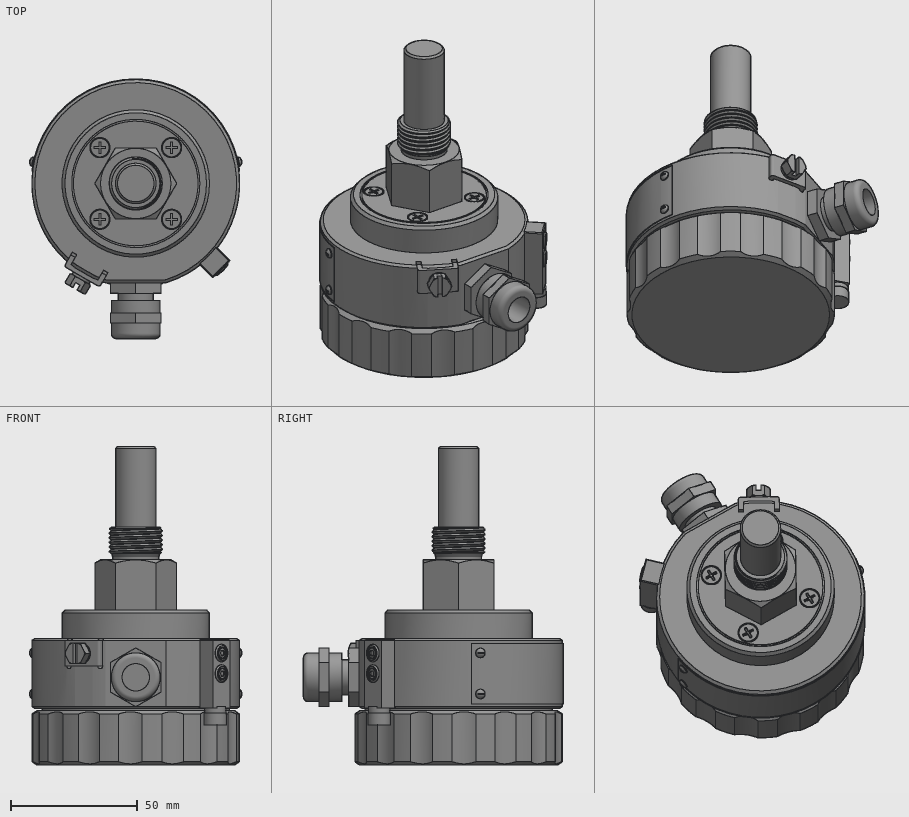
import cadquery as cq
import math

OVERLAP = 0.5

CAP_RADIUS = 41.0
CAP_HEIGHT = 21.6
CAP_CHAMFER_HEIGHT = 1.4
CAP_CHAMFER_RADIAL = 2.0
FLUTE_COUNT = 15
FLUTE_START_ANGLE = 3.0
FLUTE_RADIUS = 12.0
FLUTE_DEPTH = 1.2
NECK_RADIUS = 37.0

BODY_RADIUS = CAP_RADIUS
BODY_BOTTOM = 22.3
BODY_TOP = 50.05
BODY_CHAMFER_HEIGHT = 0.8
BODY_CHAMFER_RADIAL = 1.2
GLAND_ANGLE = -90.0
GLAND_FLAT_DISTANCE = 39.25
CLAMP_ANGLE = -120.0
CLAMP_FLAT_DISTANCE = 40.8
POST_ANGLE = -45.0
POST_FLAT_DISTANCE = 40.64

PLATE_RADIUS = 41.3
PLATE_BOTTOM = 24.2
PLATE_TOP = 48.1
PLATE_EDGE_Y = 5.0
PLATE_SCREW_ANGLE = 12.0
PLATE_SCREW_HEIGHTS = (28.1, 44.3)
PLATE_SCREW_RADIUS = 1.9
PLATE_SCREW_SINK = 2.0
PLATE_SCREW_CROWN = 1.18
PLATE_SCREW_RIM = 0.35
PLATE_SCREW_SLOT = 0.4
PLATE_SCREW_SLOT_DEPTH = 0.4

FLANGE_RADIUS = 29.1
FLANGE_TOP = 61.3
FLANGE_CHAMFER = 1.2
INSERT_RADIUS = 24.6
INSERT_GAP = 0.7
INSERT_GAP_DEPTH = 0.5
INSERT_SCREW_OFFSET = 14.15
INSERT_SCREW_RADIUS = 3.65
INSERT_SCREW_GAP = 0.35
CROSS_LENGTH = 4.6
CROSS_WIDTH = 0.8
CROSS_DEPTH = 1.0

HEX_ACROSS_FLATS = 28.0
HEX_TOP = 81.1
HEX_CHAMFER_HEIGHT = 1.35
HEX_CHAMFER_RADIAL = 2.3
RELIEF_RADIUS = 9.1
COLLAR_RADIUS = 9.3
COLLAR_BOTTOM = 82.6
THREAD_RADIUS = 10.48
THREAD_ROOT_RADIUS = 9.85
THREAD_PITCH = 1.814
THREAD_FOOT_SINK = 0.1
THREAD_FOOT_WIDTH = 1.75
THREAD_CREST_WIDTH = 0.15
THREAD_CLEARANCE = 0.2
THREAD_END_RADIUS = 9.5
THREAD_BEVEL_HEIGHT = 0.9
THREAD_BOTTOM = 83.4
THREAD_TOP = 94.0
STEM_RADIUS = 8.0
STEM_TOP = 125.8
STEM_CHAMFER = 0.8

GLAND_HEIGHT = 34.7
GLAND_ACROSS_FLATS = 20.1
GLAND_BODY_RADIUS = 9.65
GLAND_NECK_RADIUS = 7.0
GLAND_BORE_RADIUS = 5.4
GLAND_BASE_NUT_END = 43.4
GLAND_NECK_END = 46.1
GLAND_NUT_START = 51.1
GLAND_NUT_END = 55.1
GLAND_END = 61.3
GLAND_FILLET = 2.0

CLAMP_WIDTH = 16.2
CLAMP_THICKNESS = 2.0
CLAMP_BEND_RADIUS = 1.0
CLAMP_OUTER = 42.5
CLAMP_ARM_INNER = 37.2
CLAMP_BOTTOM = 39.1
CLAMP_TOP = 49.3
SLOT_INNER = 36.0
SLOT_BOTTOM = 38.2
SLOT_FILLET = 0.8
BOLT_HEIGHT = 44.1
BOLT_ACROSS_FLATS = 8.1
BOLT_COLLAR_RADIUS = 3.9
BOLT_COLLAR_END = 43.6
BOLT_HEAD_END = 48.0
BOLT_CHAMFER = 0.4
BOLT_SLOT_WIDTH = 1.9
BOLT_SLOT_DEPTH = 2.2

POST_WIDTH = 9.6
POST_INNER = 36.0
POST_OUTER = 47.8
POST_BOTTOM = 22.6
POST_TOP = 49.6
POST_CHAMFER = 0.4
POST_SCREW_HEIGHTS = (36.15, 44.25)
POST_SCREW_RADIUS = 3.5
POST_SCREW_PROJECTION = 0.7
POST_SCREW_CHAMFER = 0.6
POST_SCREW_RING_RADIUS = 2.0
POST_SCREW_RING_WIDTH = 0.3
POST_SCREW_SOCKET_RADIUS = 1.1
POST_SCREW_SOCKET_DEPTH = 0.6
PIN_DISTANCE = 44.35
PIN_HEAD_RADIUS = 4.4
PIN_HEAD_BOTTOM = 15.9
PIN_HEAD_TOP = 20.6
PIN_SHANK_RADIUS = 4.2


def hex_corner_radius(across_flats):
    return across_flats / math.sqrt(3)


def turned(shape, angle):
    return shape.rotate((0, 0, 0), (0, 0, 1), angle)


def cylinder(radius, bottom, top):
    return cq.Workplane("XY").workplane(offset=bottom).circle(radius).extrude(top - bottom)


def chamfered_cylinder(radius, bottom, top, chamfer_height, chamfer_radial, edges):
    """Vertical cylinder bevelled on the chosen end edges, built as a revolved profile."""
    bevel = (chamfer_height, chamfer_radial)
    low_z, low_r = bevel if "bottom" in edges else (0, 0)
    high_z, high_r = bevel if "top" in edges else (0, 0)
    profile = cq.Workplane("XZ").moveTo(0, bottom).lineTo(radius - low_r, bottom)
    if low_r:
        profile = profile.lineTo(radius, bottom + low_z)
    profile = profile.lineTo(radius, top - high_z)
    if high_r:
        profile = profile.lineTo(radius - high_r, top)
    return profile.lineTo(0, top).close().revolve(360, (0, 0, 0), (0, 1, 0))


def radial_plane(distance, height):
    """Workplane facing +X, with its origin at the given distance and height."""
    return cq.Workplane("YZ", origin=(distance, 0, height))


def radial_cylinder(radius, start, end, height):
    return radial_plane(start, height).circle(radius).extrude(end - start)


def radial_hexagon(across_flats, start, end, height):
    """Hexagonal prism along +X with two corners pointing sideways."""
    plane = radial_plane(start, height)
    return plane.polygon(6, 2 * hex_corner_radius(across_flats)).extrude(end - start)


def block(x_start, x_end, y_start, y_end, bottom, top):
    size = (x_end - x_start, y_end - y_start, top - bottom)
    return cq.Workplane("XY").box(*size, centered=False).translate((x_start, y_start, bottom))


def cross_recess(center_x, center_y):
    plane = cq.Workplane("XY", origin=(center_x, center_y, FLANGE_TOP))
    first_arm = plane.rect(CROSS_LENGTH, CROSS_WIDTH).extrude(-CROSS_DEPTH)
    second_arm = plane.rect(CROSS_WIDTH, CROSS_LENGTH).extrude(-CROSS_DEPTH)
    return first_arm.union(second_arm)


def ring_groove(center_x, center_y, inner_radius, width):
    plane = cq.Workplane("XY", origin=(center_x, center_y, FLANGE_TOP))
    return plane.circle(inner_radius + width).circle(inner_radius).extrude(-INSERT_GAP_DEPTH)


def make_cap():
    cap = chamfered_cylinder(
        CAP_RADIUS, 0, CAP_HEIGHT, CAP_CHAMFER_HEIGHT, CAP_CHAMFER_RADIAL, ("bottom", "top")
    )
    cutter = cylinder(FLUTE_RADIUS, 0, CAP_HEIGHT)
    cutter = cutter.translate((CAP_RADIUS - FLUTE_DEPTH + FLUTE_RADIUS, 0, 0))
    for index in range(FLUTE_COUNT):
        cap = cap.cut(turned(cutter, FLUTE_START_ANGLE + index * 360 / FLUTE_COUNT))
    neck = cylinder(NECK_RADIUS, CAP_HEIGHT - OVERLAP, BODY_BOTTOM + OVERLAP)
    return cap.union(neck)


def outside_flat(distance, angle):
    """Region of the housing beyond a flat at the given distance from the axis."""
    region = block(distance, 2 * BODY_RADIUS, -BODY_RADIUS, BODY_RADIUS, BODY_BOTTOM, BODY_TOP)
    return turned(region, angle)


def make_housing():
    """Drum whose end bevels follow the gland and clamp flats but not the narrow post flat."""
    housing = cylinder(BODY_RADIUS, BODY_BOTTOM, BODY_TOP)
    housing = housing.cut(outside_flat(GLAND_FLAT_DISTANCE, GLAND_ANGLE))
    housing = housing.cut(outside_flat(CLAMP_FLAT_DISTANCE, CLAMP_ANGLE))
    for face in (">Z", "<Z"):
        housing = housing.faces(face).chamfer(BODY_CHAMFER_RADIAL, BODY_CHAMFER_HEIGHT)
    return housing.cut(outside_flat(POST_FLAT_DISTANCE, POST_ANGLE))


def make_name_plate():
    sleeve = cylinder(PLATE_RADIUS, PLATE_BOTTOM, PLATE_TOP)
    sleeve = sleeve.cut(cylinder(BODY_RADIUS - OVERLAP, PLATE_BOTTOM, PLATE_TOP))
    rear = block(-2 * BODY_RADIUS, 2 * BODY_RADIUS, PLATE_EDGE_Y, 2 * BODY_RADIUS, PLATE_BOTTOM, PLATE_TOP)
    return sleeve.intersect(rear)


def make_plate_screw(height):
    """Slotted screw head with a short rim under a domed crown."""
    start = PLATE_RADIUS - PLATE_SCREW_SINK
    rim_end = PLATE_RADIUS + PLATE_SCREW_RIM
    crown_end = rim_end + PLATE_SCREW_CROWN
    dome_radius = (PLATE_SCREW_RADIUS**2 + PLATE_SCREW_CROWN**2) / (2 * PLATE_SCREW_CROWN)
    dome_center = crown_end - dome_radius
    dome_angle = math.asin(PLATE_SCREW_RADIUS / dome_radius) / 2
    dome_middle = (
        dome_center + dome_radius * math.cos(dome_angle),
        dome_radius * math.sin(dome_angle),
    )
    head = cq.Workplane("XY").moveTo(start, 0).lineTo(start, PLATE_SCREW_RADIUS)
    head = head.lineTo(rim_end, PLATE_SCREW_RADIUS)
    head = head.threePointArc(dome_middle, (crown_end, 0)).close()
    head = head.revolve(360, (0, 0, 0), (1, 0, 0)).translate((0, 0, height))
    half_slot = PLATE_SCREW_SLOT / 2
    slot = block(
        crown_end - PLATE_SCREW_SLOT_DEPTH, crown_end,
        -PLATE_SCREW_RADIUS, PLATE_SCREW_RADIUS, height - half_slot, height + half_slot,
    )
    return head.cut(slot)


def make_flange():
    flange = chamfered_cylinder(
        FLANGE_RADIUS, BODY_TOP - OVERLAP, FLANGE_TOP, FLANGE_CHAMFER, FLANGE_CHAMFER, ("top",)
    )
    flange = flange.cut(ring_groove(0, 0, INSERT_RADIUS, INSERT_GAP))
    for x in (-INSERT_SCREW_OFFSET, INSERT_SCREW_OFFSET):
        for y in (-INSERT_SCREW_OFFSET, INSERT_SCREW_OFFSET):
            flange = flange.cut(ring_groove(x, y, INSERT_SCREW_RADIUS, INSERT_SCREW_GAP))
            flange = flange.cut(cross_recess(x, y))
    return flange


def make_hexagon():
    bottom = FLANGE_TOP - OVERLAP
    corner_radius = hex_corner_radius(HEX_ACROSS_FLATS)
    prism = cq.Workplane("XY", origin=(0, 0, bottom)).polygon(6, 2 * corner_radius)
    prism = prism.extrude(HEX_TOP - bottom)
    envelope = chamfered_cylinder(
        corner_radius, bottom, HEX_TOP, HEX_CHAMFER_HEIGHT, HEX_CHAMFER_RADIAL, ("top",)
    )
    return prism.intersect(envelope)


def make_thread():
    """Helical ridge on a core, trimmed to the thread length with bevelled ends."""
    start = THREAD_BOTTOM - THREAD_PITCH
    end = THREAD_TOP + THREAD_PITCH
    foot_radius = THREAD_ROOT_RADIUS - THREAD_FOOT_SINK
    half_foot = THREAD_FOOT_WIDTH / 2
    half_crest = THREAD_CREST_WIDTH / 2
    helix = cq.Workplane("XY").add(cq.Wire.makeHelix(THREAD_PITCH, end - start, THREAD_ROOT_RADIUS))
    profile = cq.Workplane("XZ").polyline([
        (foot_radius, -half_foot),
        (THREAD_RADIUS, -half_crest),
        (THREAD_RADIUS, half_crest),
        (foot_radius, half_foot),
    ]).close()
    ridge = profile.sweep(helix, isFrenet=True).translate((0, 0, start))
    core = cylinder(THREAD_ROOT_RADIUS, start - THREAD_PITCH, end + THREAD_PITCH)
    envelope_radius = THREAD_RADIUS + THREAD_CLEARANCE
    envelope = chamfered_cylinder(
        envelope_radius, THREAD_BOTTOM, THREAD_TOP,
        THREAD_BEVEL_HEIGHT, envelope_radius - THREAD_END_RADIUS, ("bottom", "top"),
    )
    return core.union(ridge).intersect(envelope)


def make_stem():
    relief = cylinder(RELIEF_RADIUS, HEX_TOP - OVERLAP, THREAD_BOTTOM + OVERLAP)
    collar = cylinder(COLLAR_RADIUS, COLLAR_BOTTOM, THREAD_BOTTOM + OVERLAP)
    stem = chamfered_cylinder(
        STEM_RADIUS, THREAD_TOP - OVERLAP, STEM_TOP, STEM_CHAMFER, STEM_CHAMFER, ("top",)
    )
    return relief.union(collar).union(make_thread()).union(stem)


def make_gland():
    upright = ((0, 0, GLAND_HEIGHT), (1, 0, GLAND_HEIGHT), 90)
    base_start = GLAND_FLAT_DISTANCE - OVERLAP
    base_nut = radial_hexagon(GLAND_ACROSS_FLATS, base_start, GLAND_BASE_NUT_END, GLAND_HEIGHT)
    nut = radial_hexagon(GLAND_ACROSS_FLATS, GLAND_NUT_START, GLAND_NUT_END, GLAND_HEIGHT)
    body = radial_cylinder(GLAND_BODY_RADIUS, GLAND_NECK_END, GLAND_END, GLAND_HEIGHT)
    body = body.faces(">X").edges().fillet(GLAND_FILLET)
    gland = radial_cylinder(GLAND_NECK_RADIUS, base_start, GLAND_NUT_START, GLAND_HEIGHT)
    gland = gland.union(base_nut.rotate(*upright)).union(nut.rotate(*upright)).union(body)
    bore = radial_cylinder(GLAND_BORE_RADIUS, GLAND_FLAT_DISTANCE, GLAND_END, GLAND_HEIGHT)
    return gland.cut(bore)


def make_clamp_slots():
    """Pair of round-bottomed slots in the housing that take the clamp arms."""
    half_width = CLAMP_WIDTH / 2
    slot = block(
        SLOT_INNER, BODY_RADIUS + OVERLAP, half_width - CLAMP_THICKNESS, half_width, SLOT_BOTTOM, BODY_TOP
    )
    slot = slot.faces("<Z").edges("|X").fillet(SLOT_FILLET)
    return slot.union(slot.mirror("XZ"))


def make_clamp():
    half_width = CLAMP_WIDTH / 2
    clamp = block(CLAMP_ARM_INNER, CLAMP_OUTER, -half_width, half_width, CLAMP_BOTTOM, CLAMP_TOP)
    clamp = clamp.faces(">X").edges("|Z").fillet(CLAMP_BEND_RADIUS)
    gap_half_width = half_width - CLAMP_THICKNESS
    gap = block(
        CLAMP_ARM_INNER, CLAMP_OUTER - CLAMP_THICKNESS,
        -gap_half_width, gap_half_width, CLAMP_BOTTOM, CLAMP_TOP,
    )
    return clamp.cut(gap)


def make_bolt():
    collar = radial_cylinder(BOLT_COLLAR_RADIUS, CLAMP_OUTER - OVERLAP, BOLT_COLLAR_END, BOLT_HEIGHT)
    head = radial_hexagon(BOLT_ACROSS_FLATS, BOLT_COLLAR_END, BOLT_HEAD_END, BOLT_HEIGHT)
    corner_radius = hex_corner_radius(BOLT_ACROSS_FLATS)
    envelope = radial_cylinder(corner_radius, BOLT_COLLAR_END, BOLT_HEAD_END, BOLT_HEIGHT)
    head = head.intersect(envelope.edges().chamfer(BOLT_CHAMFER))
    half_slot = BOLT_SLOT_WIDTH / 2
    slot = block(
        BOLT_HEAD_END - BOLT_SLOT_DEPTH, BOLT_HEAD_END,
        -half_slot, half_slot, BOLT_HEIGHT - corner_radius, BOLT_HEIGHT + corner_radius,
    )
    return collar.union(head).cut(slot)


def make_post_screw(height):
    end = POST_OUTER + POST_SCREW_PROJECTION
    head = radial_cylinder(POST_SCREW_RADIUS, POST_OUTER - OVERLAP, end, height)
    head = head.faces(">X").chamfer(POST_SCREW_CHAMFER)
    face = radial_plane(end, height)
    socket = face.circle(POST_SCREW_SOCKET_RADIUS).extrude(-POST_SCREW_SOCKET_DEPTH)
    ring = face.circle(POST_SCREW_RING_RADIUS + POST_SCREW_RING_WIDTH).circle(POST_SCREW_RING_RADIUS)
    ring = ring.extrude(-POST_SCREW_RING_WIDTH)
    return head.cut(socket).cut(ring)


def make_post():
    half_width = POST_WIDTH / 2
    post = block(POST_INNER, POST_OUTER, -half_width, half_width, POST_BOTTOM, POST_TOP)
    post = post.faces(">Z").chamfer(POST_CHAMFER)
    pin = cylinder(PIN_HEAD_RADIUS, PIN_HEAD_BOTTOM, PIN_HEAD_TOP)
    pin = pin.union(cylinder(PIN_SHANK_RADIUS, PIN_HEAD_BOTTOM, POST_BOTTOM + OVERLAP))
    post = post.union(pin.translate((PIN_DISTANCE, 0, 0)))
    for height in POST_SCREW_HEIGHTS:
        post = post.union(make_post_screw(height))
    return post


result = make_cap().union(make_housing()).union(make_name_plate())
for screw_height in PLATE_SCREW_HEIGHTS:
    plate_screw = make_plate_screw(screw_height)
    for screw_angle in (PLATE_SCREW_ANGLE, 180 - PLATE_SCREW_ANGLE):
        result = result.union(turned(plate_screw, screw_angle))
result = result.union(make_flange()).union(make_hexagon()).union(make_stem())
result = result.union(turned(make_gland(), GLAND_ANGLE))
result = result.union(turned(make_post(), POST_ANGLE))
result = result.cut(turned(make_clamp_slots(), CLAMP_ANGLE))
result = result.union(turned(make_clamp(), CLAMP_ANGLE)).union(turned(make_bolt(), CLAMP_ANGLE))